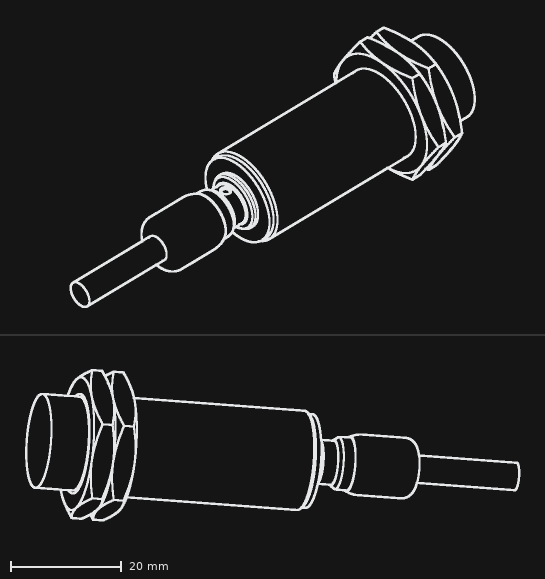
import cadquery as cq
import math


total_length = 89.2
nose_radius = 8.5
nose_end = 7.0
barrel_radius = 9.0
barrel_end = 49.0
end_cap_radius = 8.5
end_cap_chamfer = barrel_radius - end_cap_radius
end_cap_end = 50.5

flange_radius = 5.5
flange_rim_end = 51.15
flange_taper_radius = 5.2
flange_taper_end = 51.65
flange_cone_radius = 4.2
flange_cone_end = 51.95
neck_start = 52.2
neck_radius = 4.0
neck_end = 54.9

collar_lip_radius = 4.1
collar_shoulder_radius = 4.7
collar_shoulder_end = 55.75
collar_radius = 4.8
collar_start = 56.25
collar_end = 57.9

grip_start_radius = 4.95
grip_radius = 5.5
grip_full_start = 60.0
grip_end_fillet = 2.1
grip_end = 70.2
cable_radius = 2.5

lamp_radius = 1.0
lamp_station = 53.45

nut_count = 2
nut_thickness = 4.0
nut_across_flats = 24.0
nut_across_corners = nut_across_flats / math.cos(math.radians(30))
nut_chamfer_angle = 30.0


def at(radius, station):
    """Point of a turned profile at the given radius and distance from the sensing face."""
    return (radius, -station)


def make_turned_sensor():
    flank_length = grip_full_start - collar_end
    flank_rise = grip_radius - grip_start_radius
    flank_arc_radius = (flank_length**2 + flank_rise**2) / (2 * flank_rise)
    flank_half_length = flank_length / 2
    flank_mid_radius = (
        grip_radius - flank_arc_radius + math.sqrt(flank_arc_radius**2 - flank_half_length**2)
    )
    flank_middle = at(flank_mid_radius, grip_full_start - flank_half_length)

    fillet_start = grip_end - grip_end_fillet
    fillet_reach = grip_end_fillet * math.sin(math.radians(45))
    fillet_middle = at(grip_radius - grip_end_fillet + fillet_reach, fillet_start + fillet_reach)

    profile = (
        cq.Workplane("XY")
        .moveTo(*at(0, 0))
        .lineTo(*at(nose_radius, 0))
        .lineTo(*at(nose_radius, nose_end))
        .lineTo(*at(barrel_radius, nose_end))
        .lineTo(*at(barrel_radius, barrel_end))
        .lineTo(*at(end_cap_radius, barrel_end + end_cap_chamfer))
        .lineTo(*at(end_cap_radius, end_cap_end))
        .lineTo(*at(flange_radius, end_cap_end))
        .lineTo(*at(flange_radius, flange_rim_end))
        .lineTo(*at(flange_taper_radius, flange_taper_end))
        .lineTo(*at(flange_cone_radius, flange_cone_end))
        .lineTo(*at(neck_radius, neck_start))
        .lineTo(*at(neck_radius, neck_end))
        .lineTo(*at(collar_lip_radius, neck_end))
        .lineTo(*at(collar_shoulder_radius, collar_shoulder_end))
        .lineTo(*at(collar_radius, collar_start))
        .lineTo(*at(collar_radius, collar_end))
        .lineTo(*at(grip_start_radius, collar_end))
        .threePointArc(flank_middle, at(grip_radius, grip_full_start))
        .lineTo(*at(grip_radius, fillet_start))
        .threePointArc(fillet_middle, at(grip_radius - grip_end_fillet, grip_end))
        .lineTo(*at(cable_radius, grip_end))
        .lineTo(*at(cable_radius, total_length))
        .lineTo(*at(0, total_length))
        .close()
    )
    return profile.revolve(360, (0, 0, 0), (0, 1, 0))


def make_lamp_recess():
    """Space around the domed lamp: a round hole less the dome that fills its floor."""
    floor = neck_radius - lamp_radius
    dome_reach = lamp_radius * math.sin(math.radians(45))
    return (
        cq.Workplane("XZ", origin=(0, -lamp_station, 0))
        .moveTo(0, neck_radius)
        .threePointArc((dome_reach, floor + dome_reach), (lamp_radius, floor))
        .lineTo(lamp_radius, neck_radius + lamp_radius)
        .lineTo(0, neck_radius + lamp_radius)
        .close()
        .revolve(360, (0, 0, 0), (0, 1, 0))
    )


def make_sensor():
    return make_turned_sensor().cut(make_lamp_recess())


def make_nut(start):
    """Hexagon nut with both faces chamfered down to a circle touching the flats."""
    face_radius = nut_across_flats / 2
    corner_radius = nut_across_corners / 2
    chamfer_height = (corner_radius - face_radius) * math.tan(math.radians(nut_chamfer_angle))
    end = start + nut_thickness

    hexagon = (
        cq.Workplane("XZ", origin=(0, -start, 0))
        .polygon(6, nut_across_corners)
        .circle(barrel_radius)
        .extrude(nut_thickness)
    )
    chamfer_envelope = (
        cq.Workplane("XY")
        .polyline([
            at(0, start),
            at(face_radius, start),
            at(corner_radius, start + chamfer_height),
            at(corner_radius, end - chamfer_height),
            at(face_radius, end),
            at(0, end),
        ])
        .close()
        .revolve(360, (0, 0, 0), (0, 1, 0))
    )
    return hexagon.intersect(chamfer_envelope)


sensor = make_sensor()
nuts = [make_nut(nose_end + index * nut_thickness).solids().val() for index in range(nut_count)]

result = cq.Compound.makeCompound([sensor.solids().val(), *nuts])